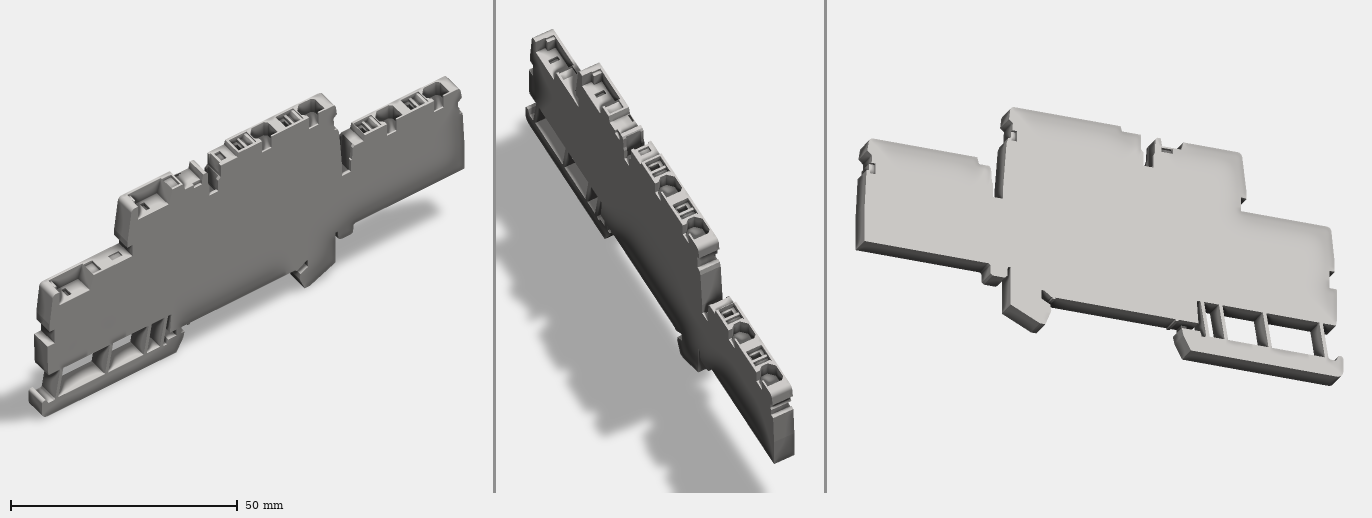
import cadquery as cq

THICKNESS = 5.1
LENGTH = 114.5
HEIGHT = 51.65

FACE = THICKNESS / 2
END = LENGTH / 2

LOWER_TOP = 37.8
LOWER_LEDGE = 36.2
UPPER_LEDGE = 50.45
MARKER_FLOOR = 48.6
LOWER_SLOT_FLOOR = 28.8
UPPER_SLOT_FLOOR = 43.0
BODY_BOTTOM = 12.4
RAIL_SEAT = 6.95
FOOT_TOP = 4.2
CUT_MARGIN = 1.0

LOWER_FRONT_CORNER = (56.1, LOWER_TOP)
UPPER_FRONT_CORNER = (22.35, HEIGHT)
UPPER_REAR_CORNER = (-32.95, UPPER_LEDGE)
LOWER_REAR_CORNER = (-54.3, LOWER_LEDGE)
FOOT_HEEL = (-END, 0.0)
FOOT_TIP = (-END, 5.2)
DECK_RADIUS = 1.1
HEEL_RADIUS = 1.5
TIP_RADIUS = 0.6

FUNNEL_LENGTH = 5.4
FUNNEL_HALF_WIDTH = 2.15
FUNNEL_DEPTH = 4.0
FUNNEL_REAR_CORNER = 0.7
FUNNEL_FRONT_CORNER = 1.4
SIDE_GAP_OFFSET = 1.9
SIDE_GAP_LENGTH = 2.6
SIDE_GAP_DEPTH = 3.5
WIRE_PITCH = 12.75
WIRES_PER_DECK = 2
LOWER_DECK_START = 53.55
UPPER_DECK_START = 19.65

RELEASE_GAP = 0.2
RELEASE_LENGTH = 4.8
RELEASE_HALF_WIDTH = 1.95
RELEASE_DEPTH = 1.6
RAMP_HEIGHT = 1.2
RAMP_TOP_LENGTH = 0.6
RAMP_LENGTH = 1.2
PUSHER_OFFSET = 2.0
PUSHER_LENGTH = 0.6
PUSHER_HEIGHT = 0.8
PROBE_WIDTH = 2.3
PROBE_OFFSET = 3.0
PROBE_LENGTH = 1.3
PROBE_DEPTH = 2.0

PLUG_PITCH = 21.35
UPPER_PLUG_START = -21.85
PLUG_INNER_WALL = -1.9
PLUG_DEPTH = 4.0
PLUG_TAPER = 1.1
PLUG_LENGTH = 8.4
PLUG_STEP_LENGTH = 1.0
PLUG_STEP_X = 0.1
SHELF_LENGTH = 0.8
SHELF_DEPTH = 0.6
CONTACT_WIDTH = 2.4
CONTACT_LENGTH = 1.1
CONTACT_OFFSET = 5.1
CONTACT_DEPTH = 1.0
WINDOW_LENGTH = 2.4
WINDOW_DEPTH = 0.8
WINDOW_X = (-1.5, 2.0)

LOWER_JUMPER_Y = (27.5, 26.7, 24.1)
UPPER_JUMPER_Y = (-8.4, -9.6, -12.5)
JUMPER_X = (-1.9, 1.75)
JUMPER_SINK = 0.6

SIDE_NOTCHES = (
    ((54.6, 56.0), (29.2, 31.8)),
    ((20.8, 22.1), (43.4, 45.9)),
    ((-16.5, -13.8), (47.2, 48.2)),
)
SIDE_NOTCH_DEPTH = 0.8

MARKER_SLOT_INNER = 1.9
MARKER_SLOT_OUTER = 2.4
MARKER_SLOT_DEPTH = 1.0
PLUS_MARKER_SLOT_Y = (-16.1, -13.9)
MINUS_MARKER_SLOT_Y = (-18.3, -16.3)

UPPER_FINGER_X = (-1.35, 1.35)
UPPER_FINGER_Y = (-7.8, -6.3)
UPPER_FINGER_DEPTH = 0.8
LOWER_FINGER_X = (-0.5, 1.1)
LOWER_FINGER_Y = (-37.2, -34.4)
LOWER_FINGER_DEPTH = 0.4

LATCH_Y = (-20.8, -19.5)
PIP_STARTS = (11.6, -17.8)
PIP_LENGTH = 0.7
PIP_HEIGHT = 0.35
OVERLAP = 0.5

LEG_TOPS = (-23.1, -27.5, -38.0, -51.5)
LEG_WIDTH = 0.85
LEG_LEAN = 1.35


def box(x_range, y_range, z_range):
    """Axis-aligned block between the given limits."""
    size = [abs(b - a) for a, b in (x_range, y_range, z_range)]
    low = [min(pair) for pair in (x_range, y_range, z_range)]
    return cq.Workplane("XY").box(*size, centered=False).translate(tuple(low))


def plate(points, x_start=-FACE, x_end=FACE):
    """Closed (Y, Z) outline extruded along X."""
    return cq.Workplane("YZ", origin=(x_start, 0, 0)).polyline(points).close().extrude(x_end - x_start)


def round_corner(solid, corner, radius):
    """Round the edge running along X through the given (Y, Z) corner."""
    y, z = corner
    reach = 0.05
    low = (-FACE - reach, y - reach, z - reach)
    high = (FACE + reach, y + reach, z + reach)
    return solid.edges(cq.selectors.BoxSelector(low, high)).fillet(radius)


def make_body():
    """Main housing with its decks, jumper slots, rail hook and rear wing."""
    front_end = [
        (END, BODY_BOTTOM), (END, 21.0), (56.8, 29.8), (55.9, 30.0), (55.9, 31.8),
        (55.5, 32.2), (55.5, 33.6), (56.6, 34.6), LOWER_FRONT_CORNER,
    ]
    lower_slot = [
        (30.3, LOWER_TOP), (29.9, LOWER_LEDGE), (27.5, LOWER_LEDGE), (27.0, 35.7), (26.8, 32.3),
        (26.5, 32.2), (26.5, LOWER_SLOT_FLOOR), (24.1, LOWER_SLOT_FLOOR), (24.1, 32.0),
    ]
    upper_front = [
        (23.3, 42.6), (22.9, 43.8), (22.0, 44.0), (21.8, 47.7), (22.7, 48.5),
        UPPER_FRONT_CORNER,
    ]
    upper_slot = [
        (-4.0, HEIGHT), (-4.3, UPPER_LEDGE), (-8.8, UPPER_LEDGE), (-8.8, 47.0), (-9.5, 46.2),
        (-9.5, UPPER_SLOT_FLOOR), (-11.8, UPPER_SLOT_FLOOR), (-11.9, 46.0), (-12.2, 46.8),
        (-12.3, 49.9), (-12.7, UPPER_LEDGE),
    ]
    marker_recess = [
        (-13.6, UPPER_LEDGE), (-13.9, MARKER_FLOOR), (-18.5, MARKER_FLOOR), (-19.0, UPPER_LEDGE),
    ]
    rear_end = [
        UPPER_REAR_CORNER, (-34.1, 41.2), (-34.1, 39.4), (-32.8, 39.6),
        (-32.8, LOWER_LEDGE), LOWER_REAR_CORNER, (-55.2, 27.7), (-55.2, 25.5),
        (-53.9, 25.5), (-53.9, 21.3), (-55.8, 21.3), (-55.7, 13.5), (-55.5, BODY_BOTTOM),
    ]
    underside = [
        (-22.2, BODY_BOTTOM), (-22.6, RAIL_SEAT), (12.6, RAIL_SEAT), (14.3, 8.2), (14.9, 8.2),
        (14.9, 6.1), (12.8, 5.0), (12.6, 3.5), (14.0, 0.0), (15.3, 0.0), (22.3, 3.3),
        (22.3, BODY_BOTTOM), (23.0, BODY_BOTTOM), (23.1, 10.2), (23.7, 9.6), (26.6, 9.6),
        (27.1, 10.0), (27.2, 12.0), (27.6, BODY_BOTTOM),
    ]
    body = plate(front_end + lower_slot + upper_front + upper_slot + marker_recess + rear_end + underside)
    for corner in (LOWER_FRONT_CORNER, UPPER_FRONT_CORNER, UPPER_REAR_CORNER, LOWER_REAR_CORNER):
        body = round_corner(body, corner, DECK_RADIUS)
    return body


def make_foot():
    """Rail foot bar, its sprung legs and the recessed latch behind its nose."""
    bar = plate([
        (-18.6, 5.1), (-19.0, 3.4), (-20.8, 0.0), FOOT_HEEL, FOOT_TIP, (-56.2, 5.2),
        (-55.5, 3.9), (-54.1, 3.9), (-53.7, FOOT_TOP), (-24.5, FOOT_TOP),
        (-24.1, 3.9), (-23.4, 3.9), (-23.0, 5.1),
    ])
    bar = round_corner(bar, FOOT_HEEL, HEEL_RADIUS)
    bar = round_corner(bar, FOOT_TIP, TIP_RADIUS)
    for top in LEG_TOPS:
        foot = top - LEG_LEAN
        bar = bar.union(plate([
            (top, BODY_BOTTOM + OVERLAP), (top - LEG_WIDTH, BODY_BOTTOM + OVERLAP),
            (top - LEG_WIDTH, BODY_BOTTOM),
            (foot - LEG_WIDTH, FOOT_TOP), (foot - LEG_WIDTH, FOOT_TOP - OVERLAP),
            (foot, FOOT_TOP - OVERLAP), (foot, FOOT_TOP), (top, BODY_BOTTOM),
        ]))
    latch = box((0, FACE), LATCH_Y, (FOOT_TOP, RAIL_SEAT + OVERLAP))
    return bar.union(latch)


def make_seat_nubs():
    """Two small pips that press on the top of the rail."""
    pips = [
        box((-FACE, FACE), (y, y + PIP_LENGTH), (RAIL_SEAT - PIP_HEIGHT, RAIL_SEAT))
        for y in PIP_STARTS
    ]
    return pips[0].union(pips[1])


def wire_funnel(start, top):
    """Eight-sided wire entry with a gap in the wall on its +X side."""
    end = start - FUNNEL_LENGTH
    half = FUNNEL_HALF_WIDTH
    rear = FUNNEL_REAR_CORNER
    front = FUNNEL_FRONT_CORNER
    well = (
        cq.Workplane("XY", origin=(0, 0, top - FUNNEL_DEPTH))
        .polyline([
            (half, start), (rear - half, start), (-half, start - rear), (-half, end + front),
            (front - half, end), (half - front, end), (half, end + front),
        ])
        .close()
        .extrude(FUNNEL_DEPTH + CUT_MARGIN)
    )
    gap_start = start - SIDE_GAP_OFFSET
    gap = box((0, FACE + CUT_MARGIN), (gap_start - SIDE_GAP_LENGTH, gap_start),
              (top - SIDE_GAP_DEPTH, top + CUT_MARGIN))
    return well.union(gap)


def release_pocket(start, top):
    """Rectangular pocket with a ramp, a cross bar and a small probe hole in its floor."""
    half = RELEASE_HALF_WIDTH
    floor = top - RELEASE_DEPTH
    pocket = box((-half, half), (start - RELEASE_LENGTH, start), (floor, top + CUT_MARGIN))
    ramp = plate([
        (start, floor), (start, floor + RAMP_HEIGHT),
        (start - RAMP_TOP_LENGTH, floor + RAMP_HEIGHT), (start - RAMP_LENGTH, floor),
    ], -half, half)
    pusher_start = start - PUSHER_OFFSET
    pusher = box((-half, half), (pusher_start - PUSHER_LENGTH, pusher_start), (floor, floor + PUSHER_HEIGHT))
    probe_start = start - PROBE_OFFSET
    probe = box((-PROBE_WIDTH / 2, PROBE_WIDTH / 2), (probe_start - PROBE_LENGTH, probe_start),
                (floor - PROBE_DEPTH, floor))
    return pocket.cut(ramp).cut(pusher).union(probe)


def plug_opening(start, top):
    """Tapered plug recess open toward +X, its contact hole, end shelf and the window in front of it."""
    end = start - PLUG_LENGTH
    floor = top - PLUG_DEPTH
    above = top + CUT_MARGIN
    recess = plate([(start, above), (start, top), (start - PLUG_TAPER, floor), (end, floor), (end, above)],
                   PLUG_INNER_WALL, FACE + CUT_MARGIN)
    step = box((PLUG_STEP_X, FACE + CUT_MARGIN), (end - PLUG_STEP_LENGTH, end), (floor, above))
    shelf = box((PLUG_INNER_WALL, PLUG_STEP_X), (end - SHELF_LENGTH, end), (top - SHELF_DEPTH, above))
    contact_start = start - CONTACT_OFFSET
    contact = box((-CONTACT_WIDTH / 2, CONTACT_WIDTH / 2), (contact_start - CONTACT_LENGTH, contact_start),
                  (floor - CONTACT_DEPTH, floor))
    window = box(WINDOW_X, (start, start + WINDOW_LENGTH), (top - WINDOW_DEPTH, above))
    return recess.union(step).union(shelf).union(contact).union(window)


def jumper_pocket(front_top, front, rear, floor, top):
    """Widened centre of a jumper slot: sloping front wall, upright rear wall, slightly sunk floor."""
    sunk_floor = floor - JUMPER_SINK
    return plate([(front_top, top), (front, sunk_floor), (rear, sunk_floor), (rear, top)], *JUMPER_X)


def side_notch(y_range, z_range):
    """Shallow recess in the -X face."""
    return box((-FACE - CUT_MARGIN, -FACE + SIDE_NOTCH_DEPTH), y_range, z_range)


def marker_slots():
    """Thin latching slots beside the marker recess, one along each face."""
    z_range = (MARKER_FLOOR - MARKER_SLOT_DEPTH, UPPER_LEDGE + CUT_MARGIN)
    plus_side = box((MARKER_SLOT_INNER, FACE + CUT_MARGIN), PLUS_MARKER_SLOT_Y, z_range)
    minus_side = box((-MARKER_SLOT_OUTER, -MARKER_SLOT_INNER), MINUS_MARKER_SLOT_Y, z_range)
    return plus_side.union(minus_side)


def ledge_pockets():
    """Shallow finger pockets in the ledges behind the upper wire deck and on the rear deck."""
    upper = box(UPPER_FINGER_X, UPPER_FINGER_Y,
                (UPPER_LEDGE - UPPER_FINGER_DEPTH, UPPER_LEDGE + CUT_MARGIN))
    lower = box(LOWER_FINGER_X, LOWER_FINGER_Y,
                (LOWER_LEDGE - LOWER_FINGER_DEPTH, LOWER_LEDGE + CUT_MARGIN))
    return upper.union(lower)


result = make_body().union(make_foot()).union(make_seat_nubs())

for deck_start, deck_top in ((LOWER_DECK_START, LOWER_TOP), (UPPER_DECK_START, HEIGHT)):
    for entry in range(WIRES_PER_DECK):
        funnel_start = deck_start - entry * WIRE_PITCH
        release_start = funnel_start - FUNNEL_LENGTH - RELEASE_GAP
        result = result.cut(wire_funnel(funnel_start, deck_top))
        result = result.cut(release_pocket(release_start, deck_top))

for level, deck_top in enumerate((UPPER_LEDGE, LOWER_LEDGE)):
    result = result.cut(plug_opening(UPPER_PLUG_START - level * PLUG_PITCH, deck_top))

result = result.cut(jumper_pocket(*LOWER_JUMPER_Y, LOWER_SLOT_FLOOR, LOWER_LEDGE))
result = result.cut(jumper_pocket(*UPPER_JUMPER_Y, UPPER_SLOT_FLOOR, UPPER_LEDGE))

for notch_y, notch_z in SIDE_NOTCHES:
    result = result.cut(side_notch(notch_y, notch_z))

result = result.cut(marker_slots()).cut(ledge_pockets())